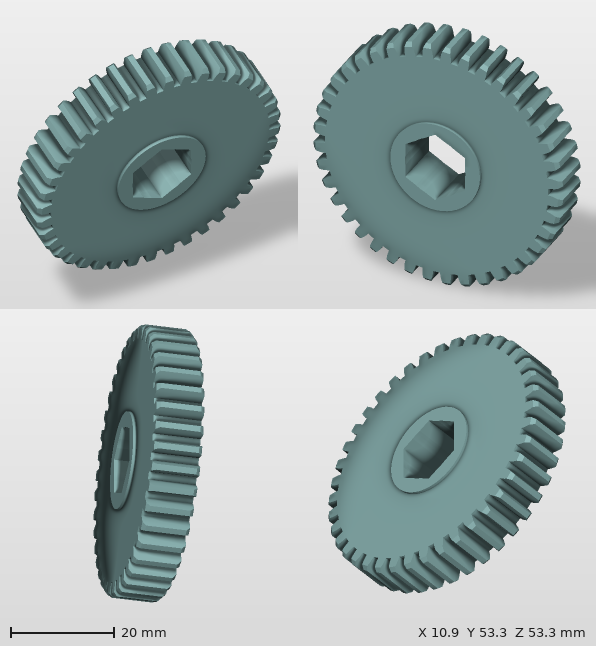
import cadquery as cq
import math

tooth_count = 40
overall_size = 53.25
tip_half_angle = math.radians(2.5) / 2
pitch_angle = 2 * math.pi / tooth_count
outer_diameter = overall_size / math.cos(pitch_angle / 2 - tip_half_angle)
dedendum_factor = 1.25
module = outer_diameter / (tooth_count + 2)
tip_radius = outer_diameter / 2
pitch_radius = module * tooth_count / 2
root_radius = pitch_radius - dedendum_factor * module

pitch_thickness = math.pi * module / 2
root_thickness = 2.3

face_width = 9.55
tip_chamfer = 0.75
hub_length = 10.9
hub_diameter = 19.1

hex_across_flats = 12.7
hex_across_corners = hex_across_flats / math.cos(math.pi / 6)
round_bore_diameter = 12.9


def polar(radius, angle):
    return radius * math.cos(angle), radius * math.sin(angle)


def centred_plane(length):
    """YZ plane placed so that extruding by this length is symmetric about X = 0."""
    return cq.Workplane("YZ", origin=(-length / 2, 0, 0))


def make_disc(diameter, length):
    return centred_plane(length).circle(diameter / 2).extrude(length)


def make_toothed_rim():
    """Gear blank drawn as one outline, with tooth spaces lying on the Y and Z axes."""
    pitch_half_angle = pitch_thickness / (2 * pitch_radius)
    root_half_angle = root_thickness / (2 * root_radius)

    outline = centred_plane(face_width).moveTo(*polar(root_radius, pitch_angle / 2 - root_half_angle))
    for index in range(tooth_count):
        center = (index + 0.5) * pitch_angle
        tip_start = polar(tip_radius, center - tip_half_angle)
        tip_end = polar(tip_radius, center + tip_half_angle)
        root_start = polar(root_radius, center + root_half_angle)
        root_end = polar(root_radius, center + pitch_angle - root_half_angle)
        outline = (
            outline.threePointArc(polar(pitch_radius, center - pitch_half_angle), tip_start)
            .threePointArc(polar(tip_radius, center), tip_end)
            .threePointArc(polar(pitch_radius, center + pitch_half_angle), root_start)
            .threePointArc(polar(root_radius, center + pitch_angle / 2), root_end)
        )
    return outline.close().extrude(face_width)


chamfered_envelope = make_disc(outer_diameter, face_width).edges("%CIRCLE").chamfer(tip_chamfer)
rim = make_toothed_rim().intersect(chamfered_envelope)

hub = make_disc(hub_diameter, hub_length)

hex_bore = (
    centred_plane(hub_length)
    .transformed(rotate=(0, 0, 90))
    .polygon(6, hex_across_corners)
    .extrude(hub_length)
)
round_bore = make_disc(round_bore_diameter, hub_length)

result = rim.union(hub).cut(hex_bore).cut(round_bore)